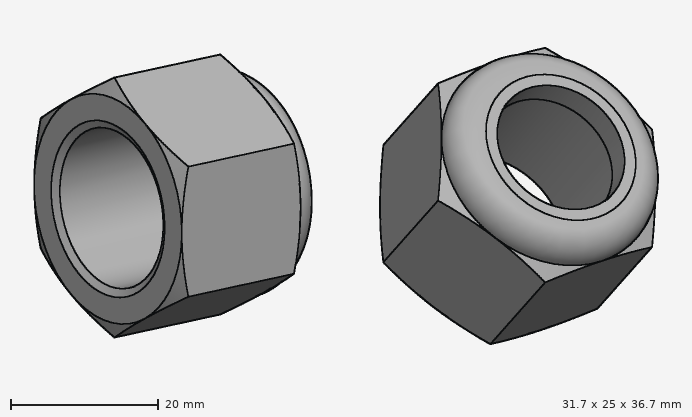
import cadquery as cq
import math

corner_width = 36.65
flat_width = corner_width * math.cos(math.radians(30))
total_length = 25.0
hex_length = 20.82
corner_bevel_angle = 25.0
bevel_depth = (corner_width - flat_width) / 2 * math.tan(math.radians(corner_bevel_angle))

collar_length = total_length - hex_length
collar_radius = flat_width / 2

bore_radius = 11.1
entry_radius = 12.2
entry_depth = 1.1 * math.tan(math.radians(30))

ring_hole_radius = 9.45
ring_length = collar_length


def revolve_profile(points):
    """Revolve a closed (radius, Y) outline around the nut axis."""
    return cq.Workplane("XY").polyline(points).close().revolve(360, (0, 0, 0), (0, 1, 0))


def make_hexagon():
    """Hexagonal prism with corners on Z and conical bevels at both ends."""
    prism = (
        cq.Workplane("XZ")
        .polygon(6, corner_width)
        .extrude(-hex_length)
        .rotate((0, 0, 0), (0, 1, 0), 30)
    )
    corner_radius = corner_width / 2
    bevel_envelope = revolve_profile([
        (0, 0),
        (collar_radius, 0),
        (corner_radius, bevel_depth),
        (corner_radius, hex_length - bevel_depth),
        (collar_radius, hex_length),
        (0, hex_length),
    ])
    return prism.intersect(bevel_envelope)


def make_collar():
    """Round collar whose outer edge is a full quarter arc."""
    crown_radius = collar_radius - collar_length
    arc_offset = collar_length * math.sqrt(0.5)
    return (
        cq.Workplane("XY")
        .moveTo(0, hex_length)
        .lineTo(collar_radius, hex_length)
        .threePointArc((crown_radius + arc_offset, hex_length + arc_offset), (crown_radius, total_length))
        .lineTo(0, total_length)
        .close()
        .revolve(360, (0, 0, 0), (0, 1, 0))
    )


def make_bore():
    """Through bore, widened by a cone at the front face."""
    return revolve_profile([
        (0, 0),
        (entry_radius, 0),
        (bore_radius, entry_depth),
        (bore_radius, total_length),
        (0, total_length),
    ])


def make_locking_ring():
    """Plain ring filling the back end of the bore."""
    ring_start = total_length - ring_length
    return revolve_profile([
        (ring_hole_radius, ring_start),
        (bore_radius, ring_start),
        (bore_radius, total_length),
        (ring_hole_radius, total_length),
    ])


nut = make_hexagon().union(make_collar()).cut(make_bore())
locking_ring = make_locking_ring()

result = cq.Compound.makeCompound([nut.val(), locking_ring.val()])